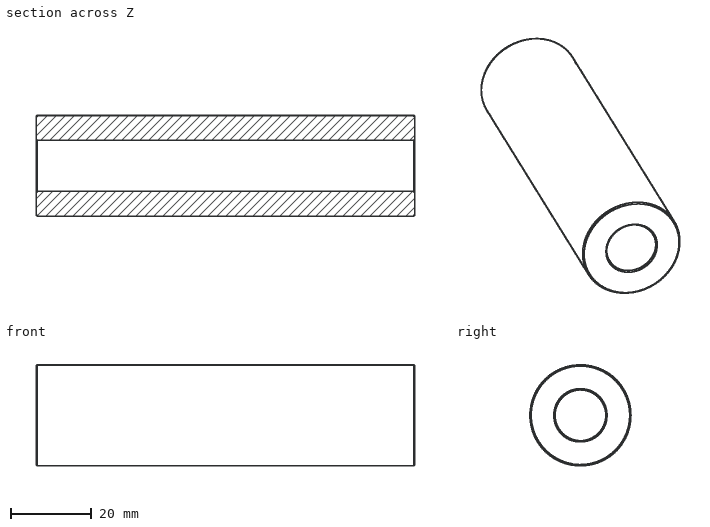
import cadquery as cq

length = 93.75
outer_diameter = 25.0
bore_diameter = 12.6
edge_chamfer = 0.32

tube = (
    cq.Workplane("YZ")
    .workplane(offset=-length / 2)
    .circle(outer_diameter / 2)
    .circle(bore_diameter / 2)
    .extrude(length)
)

result = tube.faces("<X or >X").edges().chamfer(edge_chamfer)